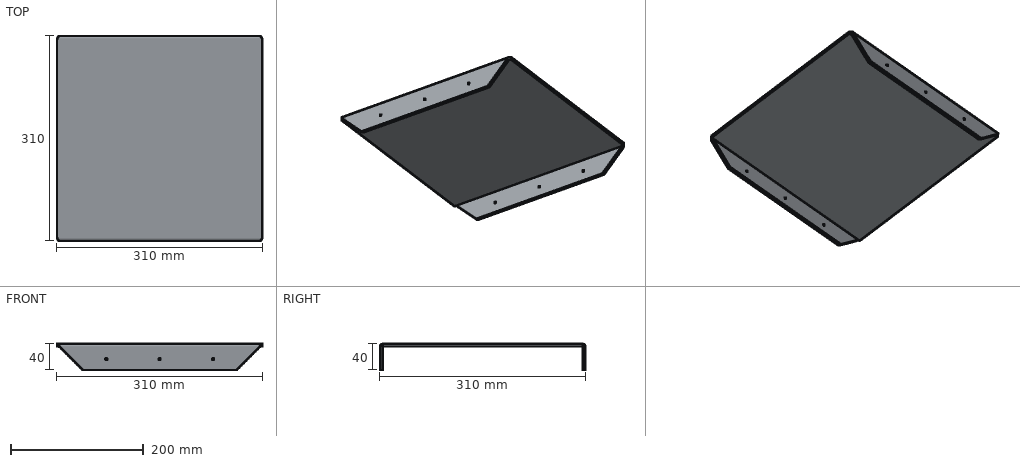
import cadquery as cq
import math

side = 310.0
height = 40.0
thickness = 4.3
inner_radius = 0.3
hole_diameter = 2.5
hole_spacing = 80.5
hole_depth_below_top = 23.2

outer_radius = inner_radius + thickness
half_side = side / 2
bend_angle = 90
bend_center_y = -half_side + outer_radius

bend_setback = (inner_radius + thickness / 2) * math.radians(bend_angle)
flange_setback = bend_setback + height - outer_radius


def make_plate():
    width = side - 2 * outer_radius
    return cq.Workplane("XY").box(side, width, thickness, centered=(True, True, False)).translate(
        (0, 0, -thickness)
    )


def make_bend():
    """Quarter ring around the bend axis, with helical ends."""
    mid = math.cos(math.radians(bend_angle / 2))
    bend = (
        cq.Workplane("YZ", origin=(-half_side, bend_center_y, -outer_radius))
        .moveTo(0, inner_radius)
        .lineTo(0, outer_radius)
        .threePointArc((-outer_radius * mid, outer_radius * mid), (-outer_radius, 0))
        .lineTo(-inner_radius, 0)
        .threePointArc((-inner_radius * mid, inner_radius * mid), (0, inner_radius))
        .close()
        .extrude(side)
    )
    cutter_size = 2 * outer_radius
    end_cut = (
        cq.Workplane("YZ", origin=(-half_side, bend_center_y, -outer_radius))
        .polyline([(0, 0), (0, cutter_size), (-cutter_size, cutter_size), (-cutter_size, 0)])
        .close()
        .twistExtrude(bend_setback, bend_angle)
    )
    return bend.cut(end_cut).cut(end_cut.mirror("YZ"))


def make_flange():
    top_half = half_side - bend_setback
    bottom_half = half_side - flange_setback
    flange = (
        cq.Workplane("XZ", origin=(0, -half_side, 0))
        .polyline(
            [
                (-top_half, -outer_radius),
                (top_half, -outer_radius),
                (bottom_half, -height),
                (-bottom_half, -height),
            ]
        )
        .close()
        .extrude(-thickness)
    )
    holes = (
        cq.Workplane("XZ", origin=(0, -half_side, -hole_depth_below_top))
        .pushPoints([(-hole_spacing, 0), (0, 0), (hole_spacing, 0)])
        .circle(hole_diameter / 2)
        .extrude(-thickness)
    )
    return flange.cut(holes)


front_edge = make_bend().union(make_flange())
result = make_plate().union(front_edge).union(front_edge.mirror("XZ"))